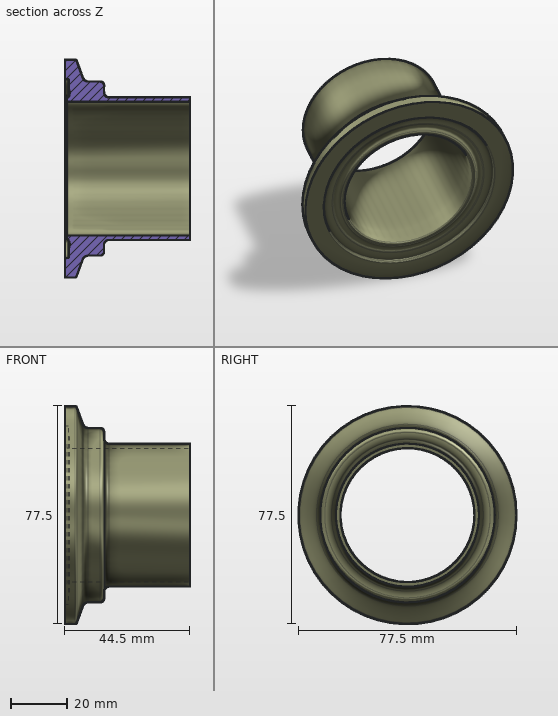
import cadquery as cq
import math

LENGTH = 44.5
RIM_RADIUS = 77.5 / 2
HUB_RADIUS = 62.0 / 2
TUBE_RADIUS = 50.8 / 2
BORE_RADIUS = 47.5 / 2

RIM_WIDTH = 3.5
CONE_ANGLE = 20.0
RIM_ROUND = 0.8
CONE_FILLET = 2.0
HUB_END_X = 14.0
HUB_ROUND = 1.6
TUBE_FILLET = 1.6

RECESS_RADIUS = 63.5 / 2
RECESS_DEPTH = 1.35
RECESS_MOUTH_ROUND = 0.3
RECESS_FLOOR_FILLET = 0.4
GROOVE_RADIUS = 27.0
GROOVE_ARC_RADIUS = 2.25
GROOVE_OUTER_TILT = 25.0
GROOVE_INNER_TILT = 46.0
GROOVE_EDGE_ROUND = 1.0
BORE_ROUND = 0.5


def arc(profile, center, radius, start_deg, end_deg):
    """Add an arc that starts at the current point; angles run from +X towards +radius."""
    def point(degrees):
        angle = math.radians(degrees)
        return (center[0] + radius * math.cos(angle), center[1] + radius * math.sin(angle))

    return profile.threePointArc(point((start_deg + end_deg) / 2), point(end_deg))


def outer_side(profile):
    """Tube, hub and clamp cone, drawn from the tube end to the sealing face."""
    half_turn = math.radians(90 - CONE_ANGLE) / 2
    cone_angle = math.radians(CONE_ANGLE)
    rim_corner_x = RIM_WIDTH + RIM_ROUND * math.tan(half_turn)
    cone_foot_x = rim_corner_x + (RIM_RADIUS - HUB_RADIUS) * math.tan(cone_angle)
    cone_fillet_x = cone_foot_x + CONE_FILLET * math.tan(half_turn)

    profile = profile.lineTo(HUB_END_X + TUBE_FILLET, TUBE_RADIUS)
    profile = arc(profile, (HUB_END_X + TUBE_FILLET, TUBE_RADIUS + TUBE_FILLET), TUBE_FILLET, 270, 180)
    profile = profile.lineTo(HUB_END_X, HUB_RADIUS - HUB_ROUND)
    profile = arc(profile, (HUB_END_X - HUB_ROUND, HUB_RADIUS - HUB_ROUND), HUB_ROUND, 0, 90)

    profile = profile.lineTo(cone_fillet_x, HUB_RADIUS)
    profile = arc(profile, (cone_fillet_x, HUB_RADIUS + CONE_FILLET), CONE_FILLET, 270, 180 + CONE_ANGLE)
    profile = profile.lineTo(
        RIM_WIDTH + RIM_ROUND * math.cos(cone_angle),
        RIM_RADIUS - RIM_ROUND + RIM_ROUND * math.sin(cone_angle),
    )
    profile = arc(profile, (RIM_WIDTH, RIM_RADIUS - RIM_ROUND), RIM_ROUND, CONE_ANGLE, 90)
    return profile.lineTo(0, RIM_RADIUS)


def sealing_face(profile):
    """Recess, gasket groove and lip, drawn from the rim inwards to the bore."""
    profile = profile.lineTo(0, RECESS_RADIUS + RECESS_MOUTH_ROUND)
    profile = arc(profile, (RECESS_MOUTH_ROUND, RECESS_RADIUS + RECESS_MOUTH_ROUND),
                  RECESS_MOUTH_ROUND, 180, 270)
    fillet_x = RECESS_DEPTH - RECESS_FLOOR_FILLET
    profile = profile.lineTo(fillet_x, RECESS_RADIUS)
    profile = arc(profile, (fillet_x, RECESS_RADIUS - RECESS_FLOOR_FILLET), RECESS_FLOOR_FILLET, 90, 0)

    centers_apart = GROOVE_ARC_RADIUS + GROOVE_EDGE_ROUND
    outer_tilt = math.radians(GROOVE_OUTER_TILT)
    inner_tilt = math.radians(GROOVE_INNER_TILT)
    outer_x = RECESS_DEPTH + GROOVE_EDGE_ROUND
    outer_radius = GROOVE_RADIUS + centers_apart * math.sin(outer_tilt)
    groove_x = outer_x - centers_apart * math.cos(outer_tilt)
    lip_x = groove_x + centers_apart * math.cos(inner_tilt)
    lip_radius = GROOVE_RADIUS - centers_apart * math.sin(inner_tilt)
    lip_face_x = lip_x - GROOVE_EDGE_ROUND

    profile = profile.lineTo(RECESS_DEPTH, outer_radius)
    profile = arc(profile, (outer_x, outer_radius), GROOVE_EDGE_ROUND, 180, 180 + GROOVE_OUTER_TILT)
    profile = arc(profile, (groove_x, GROOVE_RADIUS), GROOVE_ARC_RADIUS,
                  GROOVE_OUTER_TILT, -GROOVE_INNER_TILT)
    profile = arc(profile, (lip_x, lip_radius), GROOVE_EDGE_ROUND, 180 - GROOVE_INNER_TILT, 180)

    profile = profile.lineTo(lip_face_x, BORE_RADIUS + BORE_ROUND)
    return arc(profile, (lip_face_x + BORE_ROUND, BORE_RADIUS + BORE_ROUND), BORE_ROUND, 180, 270)


profile = cq.Workplane("XY").moveTo(LENGTH, BORE_RADIUS).lineTo(LENGTH, TUBE_RADIUS)
profile = outer_side(profile)
profile = sealing_face(profile)
result = profile.close().revolve(360, (0, 0, 0), (1, 0, 0))